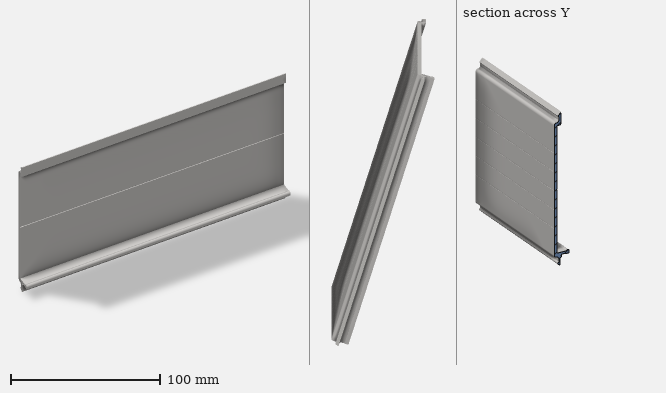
import cadquery as cq

length = 200.0
panel_height = 100.0
wall = 2.5
half_height = panel_height / 2
corner_radius = 2.0
root_chamfer = 1.2

hook_top = 57.0
hook_front = 3.8
hook_back = 5.8
hook_lip_x = 3.0
hook_tip_x = 5.2
hook_lip_z = 54.5
hook_undercut_z = 53.5

clip_bottom = -57.2
clip_front = 3.8
clip_back = 5.0
clip_lip_x = 2.8
clip_lip_z = -55.0
clip_lip_height = 0.5
clip_undercut_z = -53.5

arm_end = 12.0
arm_top = -46.8
arm_bottom = -48.8
foot_start = 9.2
foot_bottom = -49.2
bead_start = 9.5
bead_peak_x = 10.5
bead_peak_z = -46.2
bead_radius = arm_end - bead_peak_x

relief_x = clip_back + root_chamfer
relief_depth = 0.5
relief_apex_z = (arm_bottom - half_height) / 2

groove_count = 5
groove_pitch = 14.0
groove_width = 0.8
front_groove_depth = 0.2
back_groove_depth = 0.5


def upper_hook(outline):
    """Run from the panel's front corner, over the hook, to the panel's inner face."""
    return (
        outline
        .lineTo(hook_front - root_chamfer, half_height)
        .lineTo(hook_front, half_height + root_chamfer)
        .lineTo(hook_front, hook_undercut_z)
        .lineTo(hook_lip_x, hook_lip_z)
        .lineTo(hook_tip_x, hook_top)
        .lineTo(hook_back, hook_top)
        .lineTo(hook_back, half_height - wall + root_chamfer)
        .lineTo(hook_back - root_chamfer, half_height - wall)
        .lineTo(wall, half_height - wall)
    )


def lower_arm(outline):
    """Run from the panel's inner face, around the arm, to the relief."""
    return (
        outline
        .lineTo(wall, arm_top)
        .lineTo(bead_start, arm_top)
        .lineTo(bead_peak_x, bead_peak_z)
        .radiusArc((arm_end, bead_peak_z - bead_radius), bead_radius)
        .lineTo(arm_end, foot_bottom)
        .lineTo(foot_start, foot_bottom)
        .lineTo(foot_start, arm_bottom)
        .lineTo(relief_x, arm_bottom)
        .lineTo(relief_x - relief_depth, relief_apex_z)
        .lineTo(relief_x, -half_height)
    )


def lower_hook(outline):
    """Run from the relief, around the lower hook, to the panel's bottom edge."""
    return (
        outline
        .lineTo(clip_back, -half_height - root_chamfer)
        .lineTo(clip_back, clip_bottom)
        .lineTo(clip_lip_x, clip_lip_z)
        .lineTo(clip_lip_x, clip_lip_z + clip_lip_height)
        .lineTo(clip_front, clip_undercut_z)
        .lineTo(clip_front, -half_height - root_chamfer)
        .lineTo(clip_front - root_chamfer, -half_height)
    )


def profile():
    """Closed cross-section, starting at the upper rounded corner of the panel."""
    outline = cq.Workplane("XZ").moveTo(0, half_height - corner_radius)
    outline = outline.radiusArc((corner_radius, half_height), corner_radius)
    outline = lower_hook(lower_arm(upper_hook(outline)))
    outline = outline.lineTo(corner_radius, -half_height)
    outline = outline.radiusArc((0, corner_radius - half_height), corner_radius)
    return outline.close()


def lengthwise_groove(face_x, z, depth):
    """Square cutter along the panel, centred on a face so that half of it sinks in."""
    return cq.Workplane("XY").box(2 * depth, length, groove_width).translate((face_x, 0, z))


result = profile().extrude(length / 2, both=True)
for index in range(groove_count):
    groove_z = (index - (groove_count - 1) / 2) * groove_pitch
    result = result.cut(lengthwise_groove(0, groove_z, front_groove_depth))
result = result.cut(lengthwise_groove(wall, 0, back_groove_depth))